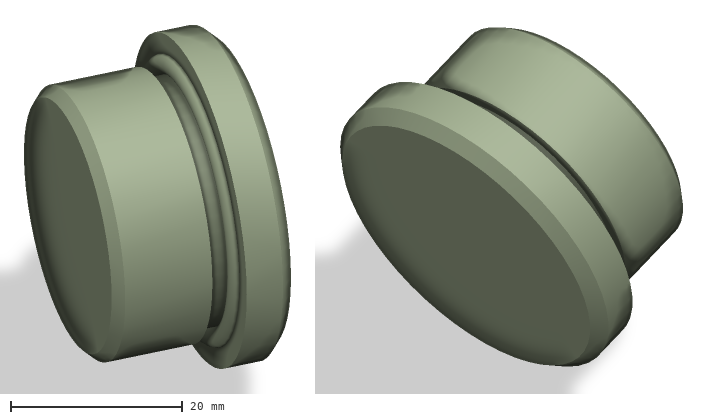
import cadquery as cq

flange_diameter = 40.0
flange_thickness = 6.0
flange_chamfer = 1.5
body_diameter = 33.0
body_chamfer = 1.25
neck_diameter = 30.0
neck_length = 3.0
total_length = 21.0
ring_outer_diameter = 35.0
ring_protrusion = 1.0

flange_radius = flange_diameter / 2
body_radius = body_diameter / 2
neck_radius = neck_diameter / 2
flange_front = total_length - flange_thickness
neck_front = flange_front - neck_length


def make_plug():
    """Revolve the flange, neck and body about the Y axis."""
    profile = (
        cq.Workplane("XY")
        .moveTo(0, 0)
        .lineTo(body_radius - body_chamfer, 0)
        .lineTo(body_radius, body_chamfer)
        .lineTo(body_radius, neck_front)
        .lineTo(neck_radius, neck_front)
        .lineTo(neck_radius, flange_front)
        .lineTo(flange_radius, flange_front)
        .lineTo(flange_radius, total_length - flange_chamfer)
        .lineTo(flange_radius - flange_chamfer, total_length)
        .lineTo(0, total_length)
        .close()
    )
    return profile.revolve(360, (0, 0, 0), (0, 1, 0))


def make_seal_ring():
    """Revolve a round section that touches the neck and is partly sunk in the flange."""
    section_radius = (ring_outer_diameter - neck_diameter) / 4
    section_center_x = neck_radius + section_radius
    section_center_y = flange_front - ring_protrusion + section_radius
    section = cq.Workplane("XY").center(section_center_x, section_center_y).circle(section_radius)
    return section.revolve(360, (-section_center_x, 0, 0), (-section_center_x, 1, 0))


result = make_plug().union(make_seal_ring())